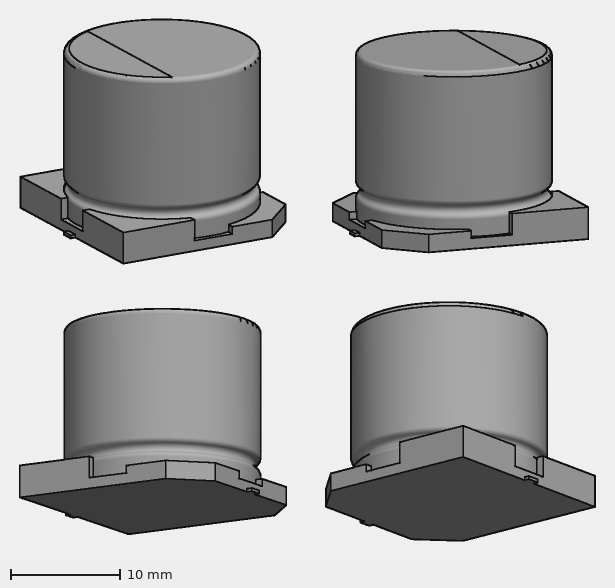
import cadquery as cq
import math

BASE_WIDTH = 19.0
BASE_TALL_HEIGHT = 3.0
BASE_LOW_HEIGHT = 1.7
BASE_CORNER_CHAMFER = 3.3
SEAT_HEIGHT = 1.0
NOTCH_WIDTH = 4.0
LEAD_SPAN = 20.0
LEAD_WIDTH = 1.32
LEAD_THICKNESS = 0.3

CAN_RADIUS = 9.0
CAN_TOP = 16.5
TOP_ROUND = 0.5
BEAD_RADIUS = 0.5
BEAD_HEIGHT = 3.5
BLEND_ANGLE = 60.0

MARK_EDGE_Y = -3.4
MARK_THICKNESS = 0.1
MARK_RADIUS = CAN_RADIUS - TOP_ROUND


def make_base():
    half_width = BASE_WIDTH / 2
    plate = (
        cq.Workplane("XY")
        .rect(BASE_WIDTH, BASE_WIDTH)
        .extrude(BASE_TALL_HEIGHT)
        .edges("|Z and >Y")
        .chamfer(BASE_CORNER_CHAMFER)
    )

    step = (
        cq.Workplane("XY", origin=(0, half_width / 2, BASE_LOW_HEIGHT))
        .rect(BASE_WIDTH, half_width)
        .extrude(BASE_TALL_HEIGHT - BASE_LOW_HEIGHT)
    )

    above_seat = BASE_TALL_HEIGHT - SEAT_HEIGHT
    seat_plane = cq.Workplane("XY", origin=(0, 0, SEAT_HEIGHT))
    seat = seat_plane.circle(CAN_RADIUS).extrude(above_seat)
    notches_x = seat_plane.rect(BASE_WIDTH, NOTCH_WIDTH).extrude(above_seat)
    notches_y = seat_plane.rect(NOTCH_WIDTH, BASE_WIDTH).extrude(above_seat)

    leads = cq.Workplane("XY").rect(LEAD_WIDTH, LEAD_SPAN).extrude(LEAD_THICKNESS)

    return plate.cut(step).cut(seat).cut(notches_x).cut(notches_y).union(leads)


def make_mark():
    disc = (
        cq.Workplane("XY", origin=(0, 0, CAN_TOP - MARK_THICKNESS))
        .circle(MARK_RADIUS)
        .extrude(MARK_THICKNESS)
    )
    return disc.intersect(
        cq.Workplane("XY", origin=(0, MARK_EDGE_Y - CAN_RADIUS, 0))
        .rect(2 * CAN_RADIUS, 2 * CAN_RADIUS)
        .extrude(CAN_TOP)
    )


def make_can(mark):
    sweep = math.radians(BLEND_ANGLE)
    half_depth = BEAD_RADIUS * (1 - math.cos(sweep))
    half_rise = BEAD_RADIUS * math.sin(sweep)
    blend_mid_depth = BEAD_RADIUS * (1 - math.cos(sweep / 2))
    blend_mid_rise = 2 * half_rise - BEAD_RADIUS * math.sin(sweep / 2)
    neck_radius = CAN_RADIUS - half_depth
    blend_mid_radius = CAN_RADIUS - blend_mid_depth

    profile = (
        cq.Workplane("XZ")
        .moveTo(0, SEAT_HEIGHT)
        .lineTo(CAN_RADIUS, SEAT_HEIGHT)
        .lineTo(CAN_RADIUS, BEAD_HEIGHT - 2 * half_rise)
        .threePointArc(
            (blend_mid_radius, BEAD_HEIGHT - blend_mid_rise),
            (neck_radius, BEAD_HEIGHT - half_rise),
        )
        .threePointArc(
            (CAN_RADIUS - BEAD_RADIUS, BEAD_HEIGHT),
            (neck_radius, BEAD_HEIGHT + half_rise),
        )
        .threePointArc(
            (blend_mid_radius, BEAD_HEIGHT + blend_mid_rise),
            (CAN_RADIUS, BEAD_HEIGHT + 2 * half_rise),
        )
        .lineTo(CAN_RADIUS, CAN_TOP)
        .lineTo(0, CAN_TOP)
        .close()
    )
    can = profile.revolve(360, (0, 0, 0), (0, 1, 0))
    can = can.faces(">Z").edges().fillet(TOP_ROUND)
    return can.cut(mark)


base = make_base()
mark = make_mark()
can = make_can(mark)

result = cq.Compound.makeCompound([base.val(), can.val(), mark.val()])